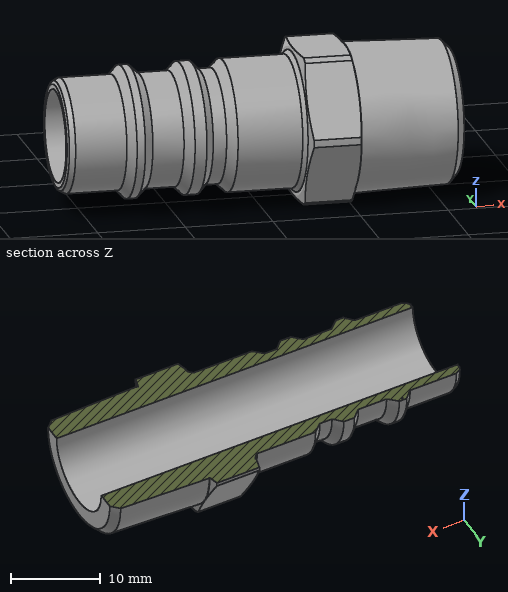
import cadquery as cq
import math

length = 45.0
bore_radius = 10.5 / 2
tube_radius = 13.0 / 2
body_radius = 15.0 / 2

face_radius = 5.8
rim_radius = 6.15
rim_length = 0.2
tip_length = 0.8

collars = [
    (6.65, 7.6, 8.55, 9.65),
    (13.2, 14.2, 15.55, 16.5),
]

body_start = 18.05
body_full_start = 19.12
flare_start = 26.5
flare_radius = 7.95

hex_start = 27.0
hex_end = 33.05
hex_across_flats = 17.0
hex_corner_radius = 19.15 / 2
hex_face_radius = 8.35
hex_chamfer_angle = 15.0

taper_large_radius = 8.5
taper_ratio = 1 / 16
end_chamfer = 0.9


def revolve_about_x(points):
    """Revolve a closed (x, radius) outline about the X axis."""
    return cq.Workplane("XY").polyline(points).close().revolve(360, (0, 0, 0), (1, 0, 0))


def make_plug():
    outline = [
        (0, 0),
        (0, face_radius),
        (rim_length, rim_radius),
        (tip_length, tube_radius),
    ]
    for lead_in, crest_start, crest_end, run_out in collars:
        outline += [
            (lead_in, tube_radius),
            (crest_start, body_radius),
            (crest_end, body_radius),
            (run_out, tube_radius),
        ]
    outline += [
        (body_start, tube_radius),
        (body_full_start, body_radius),
        (flare_start, body_radius),
        (hex_start, flare_radius),
        (hex_end, flare_radius),
        (hex_end, 0),
    ]
    return revolve_about_x(outline)


def make_hexagon():
    across_corners = hex_across_flats / math.cos(math.pi / 6)
    prism = (
        cq.Workplane("YZ", origin=(hex_start, 0, 0))
        .polygon(6, across_corners)
        .extrude(hex_end - hex_start)
    )
    chamfer = (hex_corner_radius - hex_face_radius) * math.tan(math.radians(hex_chamfer_angle))
    envelope = revolve_about_x([
        (hex_start, 0),
        (hex_start, hex_face_radius),
        (hex_start + chamfer, hex_corner_radius),
        (hex_end - chamfer, hex_corner_radius),
        (hex_end, hex_face_radius),
        (hex_end, 0),
    ])
    return prism.intersect(envelope)


def make_tapered_end():
    taper_end = length - end_chamfer
    taper_small_radius = taper_large_radius - (taper_end - hex_end) * taper_ratio / 2
    return revolve_about_x([
        (hex_end, 0),
        (hex_end, taper_large_radius),
        (taper_end, taper_small_radius),
        (length, taper_small_radius - end_chamfer),
        (length, 0),
    ])


def make_bore():
    return cq.Workplane("YZ").circle(bore_radius).extrude(length)


result = make_plug().union(make_hexagon()).union(make_tapered_end()).cut(make_bore())